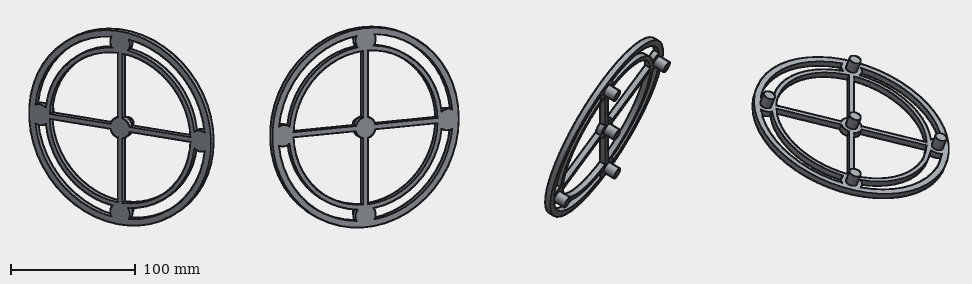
import cadquery as cq

outer_radius = 81.8
outer_ring_width = 5.4
inner_ring_outer_radius = 67.0
inner_ring_width = 4.0
spoke_width = 4.3
pad_radius = 8.8
pad_circle_radius = 72.0
pin_radius = 4.7
plate_thickness = 5.0
total_depth = 15.0

inner_ring_inner_radius = inner_ring_outer_radius - inner_ring_width
spoke_length = 2 * (inner_ring_outer_radius - inner_ring_width / 2)
pad_centers = [
    (0, 0),
    (pad_circle_radius, 0),
    (-pad_circle_radius, 0),
    (0, pad_circle_radius),
    (0, -pad_circle_radius),
]


def front_plane():
    """Sketch plane on the front face; its normal is -Y, so negative extrusions go toward +Y."""
    return cq.Workplane("XZ")


def ring(outer, inner):
    return front_plane().circle(outer).circle(inner).extrude(-plate_thickness)


def spoke(size_x, size_z):
    return front_plane().rect(size_x, size_z).extrude(-plate_thickness)


def discs(radius, depth):
    """Equal discs at the center and at the four spoke ends."""
    return front_plane().pushPoints(pad_centers).circle(radius).extrude(-depth)


result = (
    ring(outer_radius, outer_radius - outer_ring_width)
    .union(ring(inner_ring_outer_radius, inner_ring_inner_radius))
    .union(spoke(spoke_length, spoke_width))
    .union(spoke(spoke_width, spoke_length))
    .union(discs(pad_radius, plate_thickness))
)

result = result.union(discs(pin_radius, total_depth))